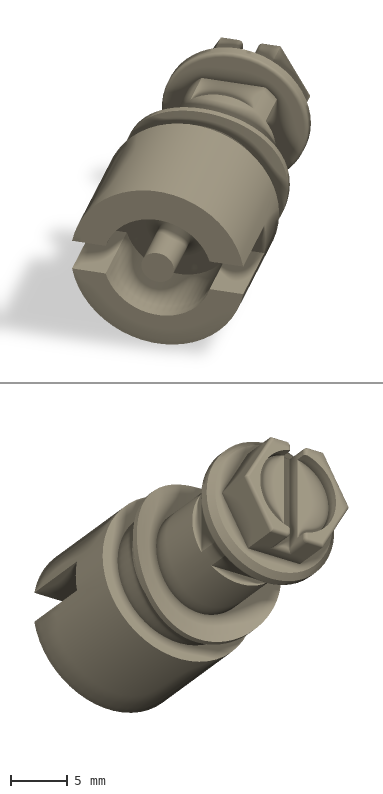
import cadquery as cq
import math

socket_depth = 7.0
body_end = 11.4
collar_end = 13.77
shank_end = 21.32
square_end = 25.0
flange_start = 25.32
flange_end = 27.0
head_end = 30.95

body_diameter = 16.0
socket_diameter = 10.0
side_slot_width = 2.9
pin_diameter = 3.0
pin_root_radius = pin_diameter / 2
pin_base_radius = pin_diameter / 2 + pin_root_radius

collar_diameter = 12.85
shank_diameter = 9.9
square_width = 8.0
neck_diameter = 5.6

flange_diameter = 13.45
flange_chamfer = 0.55
flange_fillet = 0.3
hex_across_flats = 9.5
head_fillet = 0.3
driver_slot_width = 1.42
driver_slot_depth = 2.5
driver_slot_end_fillet = 0.4
head_recess_diameter = 8.0
head_recess_depth = 1.25

washer_diameter = 15.2
washer_thickness = 0.6
washer_low_point = 14.18
washer_outer_radius = 19.5


def plane_at(y):
    """Sketch plane square to the part's axis, extruding toward +Y."""
    return cq.Workplane(cq.Plane(origin=(0, y, 0), xDir=(1, 0, 0), normal=(0, 1, 0)))


def cylinder(diameter, start, end):
    return plane_at(start).circle(diameter / 2).extrude(end - start)


def make_body():
    """Open socket with two side slots and a flared pin standing on its floor."""
    body = cylinder(body_diameter, 0, body_end)
    body = body.cut(cylinder(socket_diameter, 0, socket_depth))
    side_slots = plane_at(0).rect(2 * body_diameter, side_slot_width).extrude(socket_depth)
    body = body.cut(side_slots)

    pin_radius = pin_diameter / 2
    flare_start = socket_depth - pin_root_radius
    arc_reach = pin_root_radius * math.sin(math.radians(45))
    flare_middle = (pin_base_radius - arc_reach, flare_start + arc_reach)
    pin = (
        cq.Workplane("XY")
        .lineTo(pin_radius, 0)
        .lineTo(pin_radius, flare_start)
        .threePointArc(flare_middle, (pin_base_radius, socket_depth))
        .lineTo(pin_base_radius, body_end)
        .lineTo(0, body_end)
        .close()
        .revolve(360, (0, 0, 0), (0, 1, 0))
    )
    return body.union(pin)


def make_shaft():
    """Collar, round shank, square with rounded corners, and the neck under the flange."""
    collar = cylinder(collar_diameter, body_end, collar_end)
    shank = cylinder(shank_diameter, collar_end, shank_end)
    square = plane_at(shank_end).rect(square_width, square_width).extrude(square_end - shank_end)
    square = square.intersect(cylinder(shank_diameter, shank_end, square_end))
    neck = cylinder(neck_diameter, square_end, flange_start)
    return collar.union(shank).union(square).union(neck)


def make_washer():
    """Disc of constant thickness bent about an axis parallel to Z."""
    bend_center = washer_low_point + washer_outer_radius
    washer_inner_radius = washer_outer_radius - washer_thickness
    bent_sheet = (
        cq.Workplane("XY", origin=(0, bend_center, -washer_diameter / 2))
        .circle(washer_outer_radius)
        .circle(washer_inner_radius)
        .extrude(washer_diameter)
    )
    return bent_sheet.intersect(cylinder(washer_diameter, collar_end, flange_start))


def make_flange():
    flange = cylinder(flange_diameter, flange_start, flange_end)
    flange = flange.faces(">Y").edges().chamfer(flange_chamfer)
    return flange.faces("<Y").edges().fillet(flange_fillet)


def make_head():
    """Hexagon with corners on the X axis, a screwdriver slot along Z and a round recess on top."""
    hex_diameter = hex_across_flats / math.cos(math.radians(30))
    head = plane_at(flange_end).polygon(6, hex_diameter).extrude(head_end - flange_end)
    slot_floor = head_end - driver_slot_depth
    slot = plane_at(slot_floor).rect(driver_slot_width, 2 * hex_diameter).extrude(driver_slot_depth)
    head = head.cut(slot)

    half_slot = driver_slot_width / 2
    margin = driver_slot_width / 10
    for side in (-1, 1):
        flat_z = side * hex_across_flats / 2
        slot_end = cq.selectors.BoxSelector(
            (-half_slot - margin, slot_floor - margin, flat_z - margin),
            (half_slot + margin, head_end + margin, flat_z + margin),
        )
        head = head.edges(slot_end).fillet(driver_slot_end_fillet)
    head = head.faces(">Y").edges().fillet(head_fillet)
    return head.cut(cylinder(head_recess_diameter, head_end - head_recess_depth, head_end))


result = make_body()
for section in (make_shaft(), make_washer(), make_flange(), make_head()):
    result = result.union(section)